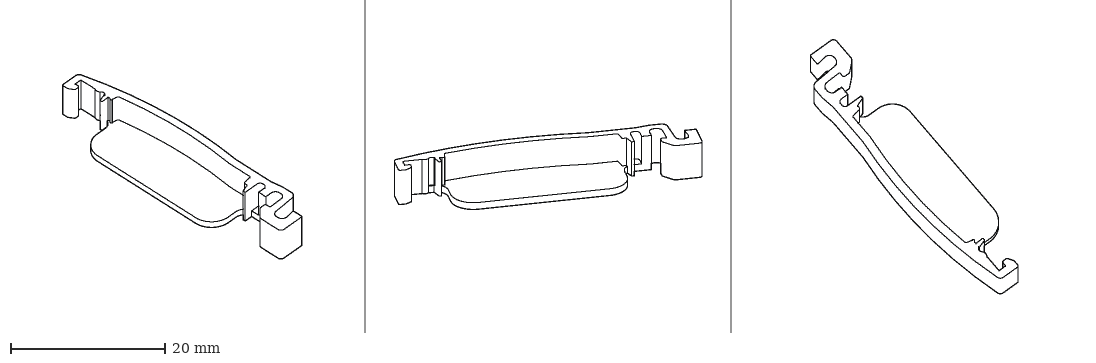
import cadquery as cq
import math

length = 40.2
height = 5.0
floor_thickness = 1.0

crown_x = 18.06
crown_y = 9.08
crown_radius = 66.7
wall_thickness = 1.17
flat_start_x = 26.35
land_y = 5.95
back_corner_radius = 0.6

pocket_left_x = 6.62
pocket_right_x = 30.25
pocket_left_draft = 0.2
pocket_right_draft = 0.25
pocket_left_corner_radius = 0.3
pocket_right_corner_radius = 0.12
pocket_mouth_radius = 0.18

tongue_left_x = 6.77
tongue_right_x = 30.23
tongue_corner_radius = 3.0
tongue_root_radius = 1.5
tongue_flange = 1.8

tooth_tip_width = 0.37
left_tooth_tip_y = 4.76
left_tooth_root_x = 5.25
left_tooth_tip_x = 5.64
left_tooth_root_width = 0.7
left_tooth_tip_radius = 0.12
right_tooth_tip_y = 4.74
right_tooth_root_x = 30.8
right_tooth_tip_x = 31.23

bead_drop = 0.13
outer_bead = (3.65, 4.47)
inner_bead = (6.3, 6.72)
notch_left_x = 4.47
notch_right_x = 5.38
notch_depth = 0.25

slot_width = 1.24
slot_top_y = 7.5
slot_corner_radius = 0.5

left_hook_bottom_y = 3.55
left_hook_arm = 1.09
left_hook_reach = 1.85
left_hook_lip_y = 4.87
left_hook_lip_height = 0.8
left_hook_foot = 1.0
left_hook_radius = 0.22

hook_root_x = 32.0
crest_foot_x = 32.6
crest_x = 34.5
crest_y = 8.86
crest_radius = 1.0
arm_top_x = 36.72
arm_top_radius = 0.8
u_left_x = 37.08
u_right_x = 38.94
u_bottom_y = 4.1
u_radius = 0.8
hook_tip_x = 38.6
hook_tip_y = 6.42
hook_tip_radius = 0.15
hook_bottom_y = 2.42
hook_edge_radius = 0.55
catch_foot_x = 36.4
catch_foot_radius = 0.6
catch_nose_x = 35.08
catch_nose_y = 3.9
catch_nose_radius = 0.35
catch_top_y = 4.88
catch_top_radius = 0.25
arm_inner_x = 35.92
arm_inner_radius = 0.15
relief_left_x = 34.13
relief_right_x = 35.82
relief_top_y = 7.74
relief_radius = 0.75


def crown_height(x, inset=0.0):
    """Y of the crown arc at x, moved inwards by inset."""
    return crown_y - crown_radius + math.sqrt((crown_radius - inset) ** 2 - (x - crown_x) ** 2)


outer_flat_y = crown_height(flat_start_x)
inner_flat_y = outer_flat_y - wall_thickness


def rounded_prism(corners, depth=height):
    """Extrude a closed polygon of (x, y, corner radius) from z = 0."""
    starts, middles, ends = [], [], []
    for i, (x, y, radius) in enumerate(corners):
        here = cq.Vector(x, y)
        before = cq.Vector(*corners[i - 1][:2]) - here
        after = cq.Vector(*corners[(i + 1) % len(corners)][:2]) - here
        half_angle = before.getAngle(after) / 2
        setback = radius / math.tan(half_angle)
        bisector = (before.normalized() + after.normalized()).normalized()
        starts.append(here + before.normalized() * setback)
        middles.append(here + bisector * (radius / math.sin(half_angle) - radius))
        ends.append(here + after.normalized() * setback)

    outline = cq.Workplane("XY").moveTo(ends[-1].x, ends[-1].y)
    for start, middle, end, (_, _, radius) in zip(starts, middles, ends, corners):
        outline = outline.lineTo(start.x, start.y)
        if radius > 0:
            outline = outline.threePointArc((middle.x, middle.y), (end.x, end.y))
    return outline.close().extrude(depth)


def fillet_upright_edge(solid, x, y, radius):
    """Fillet the vertical edge nearest to (x, y)."""
    nearest = cq.selectors.NearestToPointSelector((x, y, height / 2))
    return solid.edges("|Z").edges(nearest).fillet(radius)


def wall():
    blank = (
        cq.Workplane("XY")
        .moveTo(0, land_y)
        .lineTo(0, crown_height(0))
        .threePointArc((crown_x, crown_y), (flat_start_x, outer_flat_y))
        .lineTo(hook_root_x, outer_flat_y)
        .lineTo(hook_root_x, land_y)
        .close()
        .extrude(height)
    )
    back_rounded = fillet_upright_edge(blank, 0, crown_height(0), back_corner_radius)
    pocketed = back_rounded.cut(pocket())
    return fillet_upright_edge(pocketed, pocket_right_x, land_y, pocket_mouth_radius)


def pocket():
    top_left_x = pocket_left_x + pocket_left_draft
    top_left_y = crown_height(top_left_x, wall_thickness)
    top_right_x = pocket_right_x - pocket_right_draft
    blank = (
        cq.Workplane("XY")
        .workplane(offset=floor_thickness)
        .moveTo(pocket_left_x, land_y)
        .lineTo(top_left_x, top_left_y)
        .threePointArc((crown_x, crown_y - wall_thickness), (flat_start_x, inner_flat_y))
        .lineTo(top_right_x, inner_flat_y)
        .lineTo(pocket_right_x, land_y)
        .close()
        .extrude(height - floor_thickness)
    )
    rounded_left = fillet_upright_edge(blank, top_left_x, top_left_y, pocket_left_corner_radius)
    return fillet_upright_edge(rounded_left, top_right_x, inner_flat_y, pocket_right_corner_radius)


def tongue():
    left_root_x = tongue_left_x - tongue_flange
    right_root_x = tongue_right_x + tongue_flange
    return rounded_prism(
        [
            (tongue_left_x, 0, tongue_corner_radius),
            (tongue_right_x, 0, tongue_corner_radius),
            (tongue_right_x, land_y, tongue_root_radius),
            (right_root_x, land_y, 0),
            (right_root_x, land_y + floor_thickness, 0),
            (left_root_x, land_y + floor_thickness, 0),
            (left_root_x, land_y, 0),
            (tongue_left_x, land_y, tongue_root_radius),
        ],
        floor_thickness,
    )


def left_tooth():
    return rounded_prism([
        (left_tooth_root_x, land_y, 0),
        (left_tooth_tip_x, left_tooth_tip_y, left_tooth_tip_radius),
        (left_tooth_tip_x + tooth_tip_width, left_tooth_tip_y, left_tooth_tip_radius),
        (left_tooth_root_x + left_tooth_root_width, land_y, 0),
    ])


def right_tooth():
    back_x = right_tooth_tip_x + tooth_tip_width
    return rounded_prism([
        (right_tooth_root_x, land_y, 0),
        (right_tooth_tip_x, right_tooth_tip_y, 0),
        (back_x, right_tooth_tip_y, 0),
        (back_x, land_y, 0),
    ])


def bead(start_x, end_x):
    return (
        cq.Workplane("XY")
        .moveTo(start_x, land_y)
        .threePointArc(((start_x + end_x) / 2, land_y - bead_drop), (end_x, land_y))
        .close()
        .extrude(height)
    )


def notch():
    middle_x = (notch_left_x + notch_right_x) / 2
    return (
        cq.Workplane("XY")
        .workplane(offset=floor_thickness)
        .moveTo(notch_left_x, land_y)
        .threePointArc((middle_x, land_y + notch_depth), (notch_right_x, land_y))
        .close()
        .extrude(height - floor_thickness)
    )


def slot():
    left_x = right_tooth_tip_x + tooth_tip_width
    right_x = left_x + slot_width
    blank = rounded_prism(
        [
            (left_x, land_y, 0),
            (right_x, land_y, 0),
            (right_x, slot_top_y, slot_corner_radius),
            (left_x, slot_top_y, slot_corner_radius),
        ],
        height - floor_thickness,
    )
    return blank.translate((0, 0, floor_thickness))


def left_hook():
    return rounded_prism([
        (0, land_y, 0),
        (0, left_hook_bottom_y, left_hook_radius),
        (left_hook_foot, left_hook_bottom_y, left_hook_radius),
        (left_hook_reach, left_hook_lip_y - left_hook_lip_height, left_hook_radius),
        (left_hook_reach, left_hook_lip_y, left_hook_radius),
        (left_hook_arm, left_hook_lip_y, 0),
        (left_hook_arm, land_y, 0),
    ])


def right_hook():
    return rounded_prism([
        (hook_root_x, outer_flat_y, 0),
        (crest_foot_x, outer_flat_y, 0),
        (crest_x, crest_y, crest_radius),
        (arm_top_x, crest_y, arm_top_radius),
        (u_left_x, u_bottom_y, u_radius),
        (u_right_x, u_bottom_y, u_radius),
        (hook_tip_x, hook_tip_y, hook_tip_radius),
        (length, hook_tip_y, hook_tip_radius),
        (length, hook_bottom_y, hook_edge_radius),
        (catch_foot_x, hook_bottom_y, catch_foot_radius),
        (catch_nose_x, catch_nose_y, catch_nose_radius),
        (catch_nose_x, catch_top_y, catch_top_radius),
        (arm_inner_x, catch_top_y, arm_inner_radius),
        (relief_right_x, relief_top_y, relief_radius),
        (relief_left_x, relief_top_y, relief_radius),
        (relief_left_x, land_y, 0),
        (hook_root_x, land_y, 0),
    ])


result = (
    wall()
    .union(left_hook())
    .union(right_hook())
    .union(bead(*outer_bead))
    .union(bead(*inner_bead))
    .union(left_tooth())
    .union(right_tooth())
    .cut(notch())
    .cut(slot())
    .union(tongue())
)